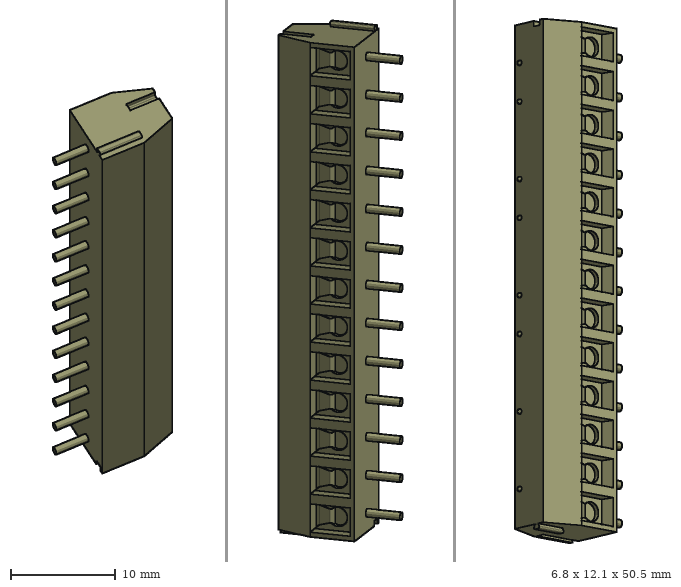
import cadquery as cq


cell_count = 13
body_length = 49.5
pitch = body_length / cell_count
body_width = 6.8
body_depth = 8.3
shoulder_depth = 4.55
nose_width = 4.1
top_z = body_length / 2
side_x = -body_width / 2

pin_diameter = 0.8
pin_length = 3.5
pin_x = 0.15

pocket_height = 2.85
pocket_depth = 1.3
pocket_front_y = 0.45
pocket_floor_front_y = 0.75

clamp_depth = 1.8
hole_radius = 0.95
hole_y = 2.15
throat_y = 3.05
throat_half_height = 0.7
neck_y = 4.1
neck_half_height = 1.0

guard_depth = 1.35
guard_tip_y = 2.65
guard_tip_radius = 0.4
guard_back_radius = 0.45

rail_height = 0.5
rail_neck_width = 0.4
rail_tip_width = 1.0
groove_width = 0.85
groove_depth = 0.55
corner_radius = 0.15
front_rail_x = 2.6
back_rail_x = -1.1
back_rail_length = 3.15

pip_x = 1.3
pip_radius = 0.25
pip_gaps = (0, 1, 3, 4, 6, 7, 9, 11)


def row_z(index):
    """Height of a cell centre; half steps lie between two cells."""
    return top_z - pitch * (index + 0.5)


def make_housing():
    half_width = body_width / 2
    half_nose = nose_width / 2
    outline = [
        (-half_width, 0),
        (half_width, 0),
        (half_width, shoulder_depth),
        (half_nose, body_depth),
        (-half_nose, body_depth),
        (-half_width, shoulder_depth),
    ]
    return cq.Workplane("XY").workplane(offset=-top_z).polyline(outline).close().extrude(body_length)


def make_pocket():
    """Wire entry whose front wall leans in towards the floor."""
    outline = [
        (side_x, pocket_front_y),
        (side_x + pocket_depth, pocket_floor_front_y),
        (side_x + pocket_depth, shoulder_depth),
        (side_x, shoulder_depth),
    ]
    return cq.Workplane("XY").polyline(outline).close().extrude(pocket_height / 2, both=True)


def make_guard():
    """Guard with both ends rounded over into the block, as tall as a whole cell."""
    length = shoulder_depth - guard_tip_y
    guard = cq.Workplane("XY").box(clamp_depth, length, pitch, centered=(False, False, True))
    guard = guard.edges("|Z and <X and <Y").fillet(guard_tip_radius)
    guard = guard.edges("|Z and <X and >Y").fillet(guard_back_radius)
    return guard.translate((side_x + guard_depth, guard_tip_y, 0))


def make_clamp_opening():
    """Keyhole-shaped recess: a round hole with a funnel widening to the back of the pocket."""
    half_outline = [
        (hole_y, throat_half_height),
        (throat_y, throat_half_height),
        (neck_y, neck_half_height),
        (shoulder_depth, pocket_height / 2),
    ]
    outline = half_outline + [(y, -z) for y, z in reversed(half_outline)]
    floor_plane = cq.Workplane("YZ").workplane(offset=side_x)
    funnel = floor_plane.polyline(outline).close().extrude(clamp_depth)
    hole = floor_plane.center(hole_y, 0).circle(hole_radius).extrude(clamp_depth)
    return funnel.union(hole).cut(make_guard())


def make_pin():
    return cq.Workplane("XZ").center(pin_x, 0).circle(pin_diameter / 2).extrude(pin_length)


def make_rail(x, y_start, y_end, end):
    """Dovetail rail with rounded tip corners on the top (end = 1) or bottom (end = -1)."""
    half_neck = rail_neck_width / 2
    half_tip = rail_tip_width / 2
    tip_z = end * (top_z + rail_height)
    outline = [
        (x - half_neck, end * top_z),
        (x - half_tip, tip_z),
        (x + half_tip, tip_z),
        (x + half_neck, end * top_z),
    ]
    rail = cq.Workplane("XZ", origin=(0, y_end, 0)).polyline(outline).close().extrude(y_end - y_start)
    tip_side = ">Z" if end > 0 else "<Z"
    return rail.faces(tip_side).edges("|Y").fillet(corner_radius)


def make_groove(x, y_start, y_end, end):
    """Cutter for a groove with rounded floor corners; its outer half lies outside the housing."""
    groove = cq.Workplane("XY").box(groove_width, y_end - y_start, 2 * groove_depth)
    groove = groove.edges("|Y").fillet(corner_radius)
    return groove.translate((x, (y_start + y_end) / 2, end * top_z))


def make_pip():
    """Ball centred on the nose face, so that half of it stands out."""
    return cq.Workplane("XY").sphere(pip_radius).translate((pip_x, body_depth, 0))


result = make_housing()

cell_cutter = make_pocket().union(make_clamp_opening())
pin = make_pin()
for index in range(cell_count):
    offset = (0, 0, row_z(index))
    result = result.cut(cell_cutter.translate(offset)).union(pin.translate(offset))

back_start = body_depth - back_rail_length
result = result.union(make_rail(front_rail_x, 0, shoulder_depth, 1))
result = result.union(make_rail(back_rail_x, back_start, body_depth, -1))
result = result.cut(make_groove(front_rail_x, 0, shoulder_depth, -1))
result = result.cut(make_groove(back_rail_x, back_start, body_depth, 1))

pip = make_pip()
for gap in pip_gaps:
    result = result.union(pip.translate((0, 0, row_z(gap + 0.5))))